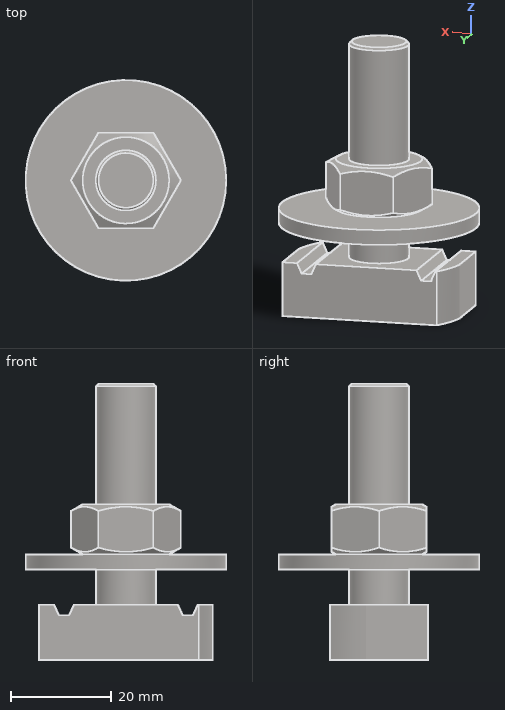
import cadquery as cq
import math

head_height = 11.0
washer_bottom = 18.0
washer_thickness = 3.0
nut_height = 10.0
total_height = 55.0

stud_diameter = 12.0
stud_chamfer_width = 0.55
stud_chamfer_height = 0.55
washer_diameter = 40.0

nut_across_flats = 19.0
nut_face_diameter = 17.2
nut_chamfer_angle = 30.0

head_length = 34.6
head_width = 19.5
head_corner_radius = 17.5

groove_center = 12.3
groove_top_width = 3.9
groove_bottom_width = 2.0
groove_depth = 2.1

washer_top = washer_bottom + washer_thickness


def make_head():
    half_length = head_length / 2
    half_width = head_width / 2
    side_x = math.sqrt(head_corner_radius**2 - half_width**2)
    end_y = math.sqrt(head_corner_radius**2 - half_length**2)
    middle_angle = (math.atan2(half_width, side_x) + math.atan2(end_y, half_length)) / 2
    arc_x = head_corner_radius * math.cos(middle_angle)
    arc_y = head_corner_radius * math.sin(middle_angle)
    head = (
        cq.Workplane("XY")
        .moveTo(-half_length, -half_width)
        .lineTo(side_x, -half_width)
        .threePointArc((arc_x, -arc_y), (half_length, -end_y))
        .lineTo(half_length, half_width)
        .lineTo(-side_x, half_width)
        .threePointArc((-arc_x, arc_y), (-half_length, end_y))
        .close()
        .extrude(head_height)
    )
    for center in (-groove_center, groove_center):
        head = head.cut(make_groove(center))
    return head


def make_groove(center):
    floor = head_height - groove_depth
    return (
        cq.Workplane("XZ")
        .polyline([
            (center - groove_top_width / 2, head_height),
            (center - groove_bottom_width / 2, floor),
            (center + groove_bottom_width / 2, floor),
            (center + groove_top_width / 2, head_height),
        ])
        .close()
        .extrude(head_width, both=True)
    )


def make_stud():
    radius = stud_diameter / 2
    return (
        cq.Workplane("XZ")
        .polyline([
            (0, head_height),
            (radius, head_height),
            (radius, total_height - stud_chamfer_height),
            (radius - stud_chamfer_width, total_height),
            (0, total_height),
        ])
        .close()
        .revolve(360, (0, 0), (0, 1))
    )


def make_washer():
    return (
        cq.Workplane("XY")
        .workplane(offset=washer_bottom)
        .circle(washer_diameter / 2)
        .extrude(washer_thickness)
    )


def make_nut():
    across_corners = nut_across_flats / math.cos(math.radians(30))
    corner_radius = across_corners / 2
    face_radius = nut_face_diameter / 2
    chamfer_height = (corner_radius - face_radius) * math.tan(math.radians(nut_chamfer_angle))
    nut_top = washer_top + nut_height
    prism = (
        cq.Workplane("XY")
        .workplane(offset=washer_top)
        .polygon(6, across_corners)
        .extrude(nut_height)
    )
    blank = (
        cq.Workplane("XZ")
        .polyline([
            (0, washer_top),
            (face_radius, washer_top),
            (corner_radius, washer_top + chamfer_height),
            (corner_radius, nut_top - chamfer_height),
            (face_radius, nut_top),
            (0, nut_top),
        ])
        .close()
        .revolve(360, (0, 0), (0, 1))
    )
    return prism.intersect(blank)


result = make_head().union(make_stud()).union(make_washer()).union(make_nut())